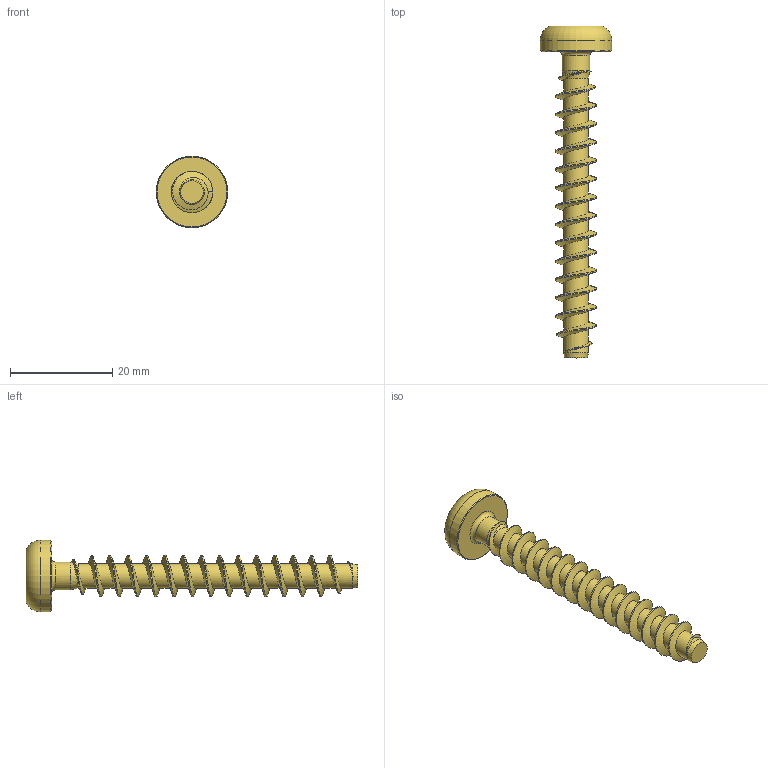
import cadquery as cq
import math


head_radius = 7.0
head_height = 5.0
head_rim_height = 2.2
head_top_radius = 5.2
rim_chamfer = 0.15

shank_length = 59.99
neck_radius = 2.7
neck_fillet = 0.8
neck_length = 3.8
core_radius = 2.4
core_taper_length = 1.4
tip_radius = 2.2
tip_taper_length = 1.0

pitch = 3.59
thread_radius = 4.05
first_crest_y = -6.95
crest_width = 0.22
base_width = 1.2
core_overlap = 0.4
start_turn = -1.0
start_crest_radius = 3.0
start_gap = 0.1
start_crest_y = -neck_length - start_gap
full_start_turn = 0.4
full_end_turn = 13.3
end_turn = 14.5
end_crest_radius = 2.5
sections_per_turn = 24
turns_per_segment = 2


def make_body():
    """Revolve the head, neck and core about the Y axis."""
    dome_height = head_height - head_rim_height
    dome_inset = head_radius - head_top_radius
    dome_radius = (dome_inset**2 + dome_height**2) / (2 * dome_inset)
    dome_centre_x = head_radius - dome_radius
    dome_half_angle = math.asin(dome_height / dome_radius) / 2
    dome_middle = (
        dome_centre_x + dome_radius * math.cos(dome_half_angle),
        head_rim_height + dome_radius * math.sin(dome_half_angle),
    )
    fillet_reach = neck_fillet * (1 - math.sqrt(0.5))
    profile = (
        cq.Workplane("XY")
        .moveTo(0, head_height)
        .lineTo(head_top_radius, head_height)
        .threePointArc(dome_middle, (head_radius, head_rim_height))
        .lineTo(head_radius, rim_chamfer)
        .lineTo(head_radius - rim_chamfer, 0)
        .lineTo(neck_radius + neck_fillet, 0)
        .threePointArc(
            (neck_radius + fillet_reach, -fillet_reach),
            (neck_radius, -neck_fillet),
        )
        .lineTo(neck_radius, -neck_length)
        .lineTo(core_radius, -neck_length - core_taper_length)
        .lineTo(core_radius, tip_taper_length - shank_length)
        .lineTo(tip_radius, -shank_length)
        .lineTo(0, -shank_length)
        .close()
    )
    return profile.revolve(360, (0, 0, 0), (0, 1, 0))


def crest_radius_at(turn):
    """Crest radius, fading out at both ends of the thread."""
    if turn < full_start_turn:
        fade = (full_start_turn - turn) / (full_start_turn - start_turn)
        return thread_radius + fade * (start_crest_radius - thread_radius)
    if turn > full_end_turn:
        fade = (turn - full_end_turn) / (end_turn - full_end_turn)
        return thread_radius + fade * (end_crest_radius - thread_radius)
    return thread_radius


def thread_section(turn):
    """Thread outline in the half plane through the Y axis at the given turn."""
    crest_radius = crest_radius_at(turn)
    scale = (crest_radius - core_radius) / (thread_radius - core_radius)
    half_crest = crest_width / 2 * scale
    half_base = base_width / 2 * scale
    inner_radius = core_radius - core_overlap
    flank_slope = (base_width - crest_width) / 2 / (thread_radius - core_radius)
    half_foot = half_base + core_overlap * flank_slope
    outline = [
        (inner_radius, half_foot),
        (crest_radius, half_crest),
        (crest_radius, -half_crest),
        (inner_radius, -half_foot),
    ]
    angle = 2 * math.pi * turn
    centre_y = min(first_crest_y - pitch * turn, start_crest_y)
    points = [
        cq.Vector(radius * math.cos(angle), centre_y + offset, radius * math.sin(angle))
        for radius, offset in outline
    ]
    return cq.Wire.makePolygon(points, close=True)


def thread_segment(first_turn, last_turn):
    """Loft one stretch of thread through sections spaced evenly along the helix."""
    step_count = math.ceil((last_turn - first_turn) * sections_per_turn)
    step = (last_turn - first_turn) / step_count
    sections = [thread_section(first_turn + step * i) for i in range(step_count + 1)]
    return cq.Solid.makeLoft(sections)


def make_thread_segments():
    """Thread in short stretches, so that each joins the core reliably."""
    segment_count = math.ceil((end_turn - start_turn) / turns_per_segment)
    breaks = [start_turn + turns_per_segment * i for i in range(segment_count)]
    breaks.append(end_turn)
    return [thread_segment(first, last) for first, last in zip(breaks, breaks[1:])]


result = make_body()
for segment in make_thread_segments():
    result = result.union(cq.Workplane(segment))